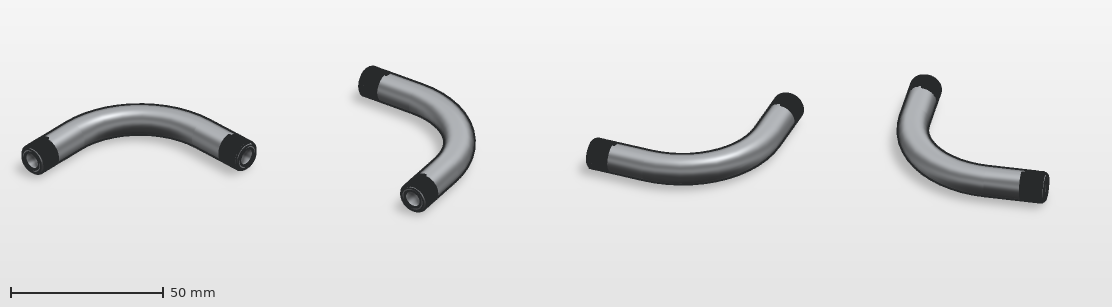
import cadquery as cq
import math

overall_length = 55.1
outer_diameter = 10.2
outer_radius = outer_diameter / 2
bore_radius = 3.0
bend_radius = 30.05
arm_length = overall_length - outer_radius - bend_radius

thread_pitch = 1.0
thread_length = 7.8
thread_turns = 8.8
thread_start_depth = 0.4
thread_end_depth = 0.65
thread_half_angle = 30.0

cutter_overlap = 0.1

tip_chamfer = 0.9
bore_chamfer = 0.3

arm_ends = [
    cq.Plane(origin=(arm_length, bend_radius, 0), xDir=(0, 0, 1), normal=(1, 0, 0)),
    cq.Plane(origin=(-bend_radius, -arm_length, 0), xDir=(0, 0, 1), normal=(0, -1, 0)),
]


def make_rod(radius):
    """Solid round rod following the centreline of the tube."""
    middle = bend_radius * math.sqrt(0.5)
    centreline = (
        cq.Workplane("XY")
        .moveTo(arm_length, bend_radius)
        .lineTo(0, bend_radius)
        .threePointArc((-middle, middle), (-bend_radius, 0))
        .lineTo(-bend_radius, -arm_length)
    )
    return cq.Workplane(arm_ends[0]).circle(radius).sweep(centreline)


def thread_helix(radius, start_z, end_z, **taper):
    """Right-handed helix with the thread's number of turns; a cone angle may be added."""
    height = end_z - start_z
    pitch = height / thread_turns
    return cq.Wire.makeHelix(pitch, height, radius, center=cq.Vector(0, 0, start_z), **taper)


def make_thread_cutter():
    """V-shaped helical cutter; the arm's tip is at Z = 0 and its body lies below."""
    cutter_radius = outer_radius + cutter_overlap
    start_root = outer_radius - thread_start_depth
    end_root = outer_radius - thread_end_depth
    flank_slope = math.tan(math.radians(thread_half_angle))
    start_half_width = (cutter_radius - start_root) * flank_slope
    end_half_width = (cutter_radius - end_root) * flank_slope
    start_z = -thread_length
    end_z = start_z + thread_turns * thread_pitch

    root_taper = math.degrees(math.atan((end_root - start_root) / (end_z - start_z)))
    root = thread_helix(start_root, start_z, end_z, angle=root_taper)
    lower_edge = thread_helix(
        cutter_radius, start_z - start_half_width, end_z - end_half_width
    )
    upper_edge = thread_helix(
        cutter_radius, start_z + start_half_width, end_z + end_half_width
    )
    edges = [root, lower_edge, upper_edge]
    sides = [cq.Face.makeRuledSurface(edges[i - 1], edges[i]).Faces()[0] for i in range(len(edges))]
    caps = []
    for end in (0, 1):
        corners = [edge.positionAt(end) for edge in edges]
        caps.append(cq.Face.makeFromWires(cq.Wire.makePolygon(corners, close=True)))
    return cq.Solid.makeSolid(cq.Shell.makeShell(sides + caps)).fix()


def chamfer_end(body, end_face):
    """Chamfer the outer rim and the bore rim of one open end."""
    outer_rim = body.faces(end_face).val().outerWire()
    body = body.newObject([outer_rim]).edges().chamfer(tip_chamfer)
    bore_rim = body.faces(end_face).val().innerWires()[0]
    return body.newObject([bore_rim]).edges().chamfer(bore_chamfer)


tube = make_rod(outer_radius).cut(make_rod(bore_radius))
for end_face in (">X", "<Y"):
    tube = chamfer_end(tube, end_face)

thread_cutter = make_thread_cutter()
for end_plane in arm_ends:
    tube = tube.cut(cq.Workplane(thread_cutter.located(cq.Location(end_plane))))

result = tube